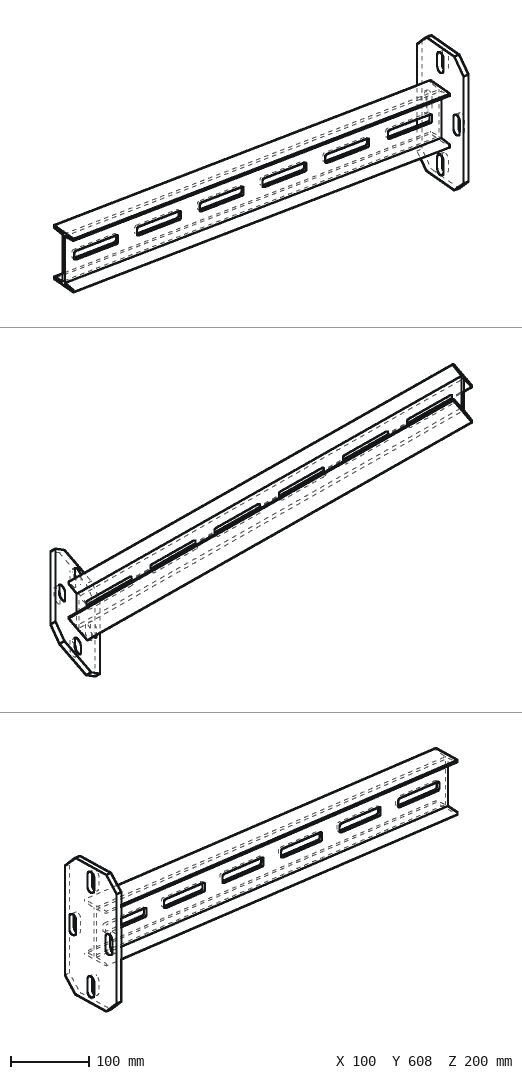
import cadquery as cq

plate_width = 100.0
plate_height = 200.0
plate_thickness = 8.0
corner_cut = 20.0

fixing_slot_width = 13.0
fixing_slot_length = 30.0
side_slot_offset = 35.0
end_slot_offset = 76.5

arm_length = 600.0
arm_height = 80.0
flange_width = 42.0
flange_tip_thickness = 3.3
flange_root_thickness = 5.0
flange_tip_radius = 1.0
web_thickness = 5.0

web_slot_count = 6
web_slot_pitch = arm_length / web_slot_count
web_slot_length = 70.0
web_slot_width = 13.0
web_slot_corner_radius = 3.0

total_depth = arm_length + plate_thickness
joint_y = total_depth / 2 - plate_thickness


def make_plate():
    blank = (
        cq.Workplane("XY")
        .box(plate_width, plate_thickness, plate_height)
        .edges("|Y")
        .chamfer(corner_cut)
    )
    slot_centres = [
        (-side_slot_offset, 0),
        (side_slot_offset, 0),
        (0, -end_slot_offset),
        (0, end_slot_offset),
    ]
    slots = (
        cq.Workplane("XZ")
        .pushPoints(slot_centres)
        .slot2D(fixing_slot_length, fixing_slot_width, angle=90)
        .extrude(plate_thickness, both=True)
    )
    return blank.cut(slots).translate((0, joint_y + plate_thickness / 2, 0))


def make_beam():
    """I-section bar whose flanges taper from the web to tips rounded on the inner side."""
    half_height = arm_height / 2
    half_flange = flange_width / 2
    half_web = web_thickness / 2
    tip_z = half_height - flange_tip_thickness
    root_z = half_height - flange_root_thickness
    quarter = [
        (half_flange, half_height),
        (half_flange, tip_z),
        (half_web, root_z),
    ]
    right_side = quarter + [(x, -z) for x, z in reversed(quarter)]
    left_side = [(-x, -z) for x, z in right_side]
    outline = cq.Workplane("XZ").polyline(right_side + left_side).close()
    bar = outline.extrude(arm_length / 2, both=True)

    for tip_x in (-half_flange, half_flange):
        for inner_z in (-tip_z, tip_z):
            tip_edge = cq.selectors.NearestToPointSelector((tip_x, 0, inner_z))
            bar = bar.edges(tip_edge).fillet(flange_tip_radius)
    return bar


def make_web_slots():
    slots = (
        cq.Workplane("XY")
        .rarray(1, web_slot_pitch, 1, web_slot_count)
        .box(2 * web_thickness, web_slot_length, web_slot_width)
    )
    return slots.edges("|X").fillet(web_slot_corner_radius)


def make_arm():
    return make_beam().cut(make_web_slots()).translate((0, joint_y - arm_length / 2, 0))


plate = make_plate()
arm = make_arm()

result = cq.Compound.makeCompound([plate.val(), arm.val()])